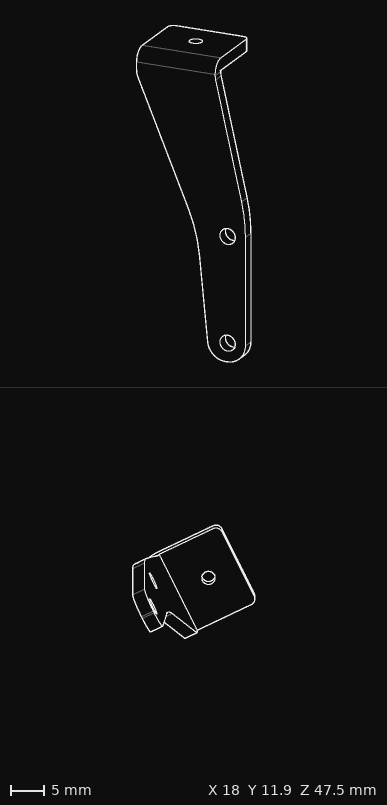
import cadquery as cq

height = 47.5
width = 18.0
depth = 11.95
thickness = 2.0

flange_width = 13.0
left_shoulder_z = 43.65
right_shoulder_z = 45.0
waist_x = 10.0
waist_z = 20.0
right_bend_z = 23.15
foot_left_x = 12.0
foot_radius = (width - foot_left_x) / 2
shoulder_radius = foot_radius
waist_radius = 25.0

flange_corner_radius = 1.0
flange_hole_diameter = 2.0
flange_hole_y = 7.05
arm_hole_diameter = 2.5
arm_hole_x = width - 2.95
lower_hole_z = 3.0
arm_hole_spacing = 17.0


def round_arm_corner(body, x, z, radius):
    """Round the arm edge that runs through the sheet at (x, z)."""
    tolerance = 0.05
    near_corner = cq.selectors.BoxSelector(
        (x - tolerance, -tolerance, z - tolerance),
        (x + tolerance, thickness + tolerance, z + tolerance),
    )
    return body.edges("|Y").edges(near_corner).fillet(radius)


def make_arm():
    """Cranked flat arm with rounded corners."""
    corners = [
        ((0, left_shoulder_z), shoulder_radius),
        ((waist_x, waist_z), waist_radius),
        ((foot_left_x, 0), foot_radius),
        ((width, 0), foot_radius),
        ((width, right_bend_z), waist_radius),
        ((flange_width, right_shoulder_z), shoulder_radius),
    ]
    outline = [(0, height)] + [point for point, _ in corners] + [(flange_width, height)]
    arm = cq.Workplane("XZ").polyline(outline).close().extrude(-thickness)
    for (x, z), radius in corners:
        arm = round_arm_corner(arm, x, z, radius)
    return arm


def make_flange():
    """Horizontal mounting flange with rounded free corners."""
    flange = cq.Workplane("XY").box(flange_width, depth, thickness, centered=False)
    flange = flange.edges("|Z and >Y").fillet(flange_corner_radius)
    return flange.translate((0, 0, height - thickness))


def make_arm_holes():
    """Cutters for the two holes through the arm."""
    centers = [(arm_hole_x, lower_hole_z + i * arm_hole_spacing) for i in range(2)]
    return cq.Workplane("XZ").pushPoints(centers).circle(arm_hole_diameter / 2).extrude(-thickness)


def make_flange_hole():
    """Cutter for the hole through the flange, centered across its width."""
    plane = cq.Workplane("XY", origin=(flange_width / 2, flange_hole_y, height - thickness))
    return plane.circle(flange_hole_diameter / 2).extrude(thickness)


bracket = make_arm().union(make_flange())

bracket = bracket.edges("|X and <Y and >Z").fillet(thickness)

result = bracket.cut(make_arm_holes()).cut(make_flange_hole())